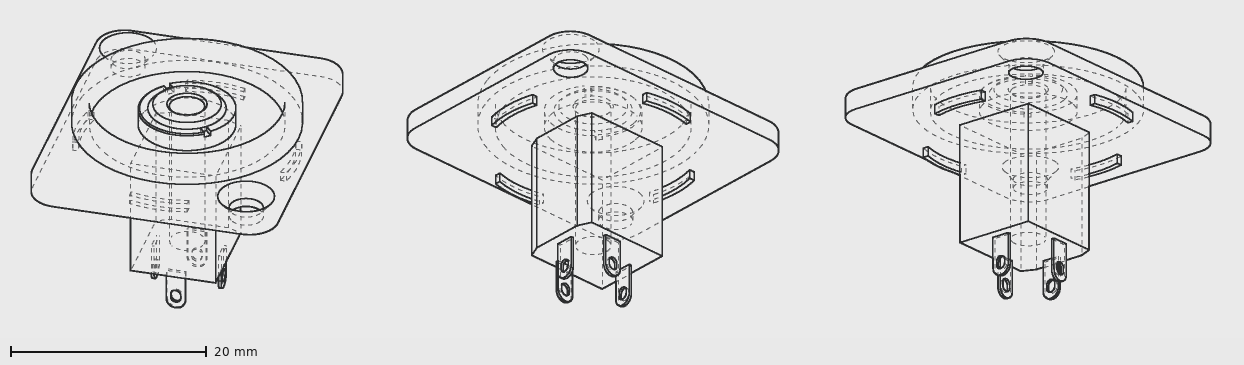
import cadquery as cq

plate_x = 26.0
plate_y = 31.0
plate_top = 2.35
plate_corner_radius = 3.0
edge_round = 0.3

screw_hole_diameter = 3.5
screw_sink_diameter = 5.8
screw_sink_angle = 80.0
screw_x = 9.5
screw_y = 12.0

rim_outer_radius = 11.8
rim_inner_radius = 10.0
rim_top = 5.1
recess_floor = 2.1

tab_outer_radius = 11.7
tab_inner_radius = 11.1
tab_width = 6.1
tab_height = 1.0

nut_diameter = 10.0
nut_top = recess_floor + 1.95
nut_edge_bevel = 0.15
nut_slot_width = 0.7
nut_slot_depth = 0.5
nut_slot_angle = 130.0

sleeve_diameter = 8.0
sleeve_top = nut_top + 0.5
sleeve_bevel = 0.5
bore_diameter = 3.6
bore_bevel = 0.25

body_x = 9.0
body_y = 10.5
body_height = 13.0
body_center_y = -0.23
body_bevel_x = 1.5
body_bevel_y = 0.65
body_floor = 1.0

terminal_width = 2.0
terminal_thickness = 0.3
terminal_length = 4.4
terminal_eye_width = 1.05
terminal_eye_height = 1.4
terminal_eye_above_tip = 1.4
terminal_embed = 0.5
side_terminal_x = 3.55
side_terminal_y = 0.66
end_terminal_offset = 4.05


def cylinder(diameter, bottom, top):
    """Upright cylinder on the socket axis."""
    return cq.Workplane("XY").workplane(offset=bottom).circle(diameter / 2).extrude(top - bottom)


def make_plate():
    """Rounded plate with a rounded top edge and two countersunk holes."""
    plate = cq.Workplane("XY").rect(plate_x, plate_y).extrude(plate_top)
    plate = plate.edges("|Z").fillet(plate_corner_radius)
    plate = plate.faces(">Z").edges().fillet(edge_round)
    return (
        plate.faces(">Z")
        .workplane(origin=(0, 0, plate_top))
        .pushPoints([(-screw_x, screw_y), (screw_x, -screw_y)])
        .cskHole(screw_hole_diameter, screw_sink_diameter, screw_sink_angle)
    )


def make_recess():
    """Material removed between the plate top and the sunken floor."""
    return cylinder(2 * rim_inner_radius, recess_floor, plate_top)


def make_rim():
    """Rim with both top edges rounded."""
    rim = cylinder(2 * rim_outer_radius, plate_top, rim_top)
    rim = rim.cut(cylinder(2 * rim_inner_radius, plate_top, rim_top))
    return rim.faces(">Z").edges().fillet(edge_round)


def make_tabs():
    """Four ring segments with parallel sides, one on each side of the socket axis."""
    ring = cylinder(2 * tab_outer_radius, -tab_height, 0)
    ring = ring.cut(cylinder(2 * tab_inner_radius, -tab_height, 0))
    span = 2 * plate_y
    arms = cq.Workplane("XY").rect(span, tab_width).extrude(-tab_height)
    arms = arms.union(cq.Workplane("XY").rect(tab_width, span).extrude(-tab_height))
    return ring.intersect(arms)


def make_nut():
    """Nut with one half of its top edge bevelled and a slot across the top."""
    plain = cylinder(nut_diameter, recess_floor, nut_top)
    bevelled = plain.faces(">Z").edges().chamfer(nut_edge_bevel)
    half = (
        cq.Workplane("XY")
        .rect(2 * nut_diameter, nut_diameter)
        .extrude(nut_top)
        .translate((0, nut_diameter / 2, 0))
        .rotate((0, 0, 0), (0, 0, 1), nut_slot_angle)
    )
    nut = plain.cut(half).union(bevelled.intersect(half))
    slot = (
        cq.Workplane("XY")
        .workplane(offset=nut_top - nut_slot_depth)
        .rect(2 * nut_diameter, nut_slot_width)
        .extrude(nut_slot_depth)
        .rotate((0, 0, 0), (0, 0, 1), nut_slot_angle)
    )
    return nut.cut(slot)


def make_sleeve():
    """Sleeve standing proud of the nut, bevelled at its top."""
    sleeve = cylinder(sleeve_diameter, 0, sleeve_top)
    return sleeve.faces(">Z").edges().chamfer(sleeve_bevel)


def make_bore():
    """Blind round bore with a bevelled mouth."""
    bore = cylinder(bore_diameter, body_floor - body_height, sleeve_top)
    mouth = (
        cq.Workplane("XY")
        .workplane(offset=sleeve_top - bore_bevel)
        .circle(bore_diameter / 2)
        .workplane(offset=bore_bevel)
        .circle(bore_diameter / 2 + bore_bevel)
        .loft(ruled=True)
    )
    return bore.union(mouth)


def make_body():
    """Rectangular body with its two +Y corners bevelled."""
    half_x = body_x / 2
    front = body_center_y - body_y / 2
    back = body_center_y + body_y / 2
    return (
        cq.Workplane("XY")
        .moveTo(-half_x, front)
        .lineTo(half_x, front)
        .lineTo(half_x, back - body_bevel_y)
        .lineTo(half_x - body_bevel_x, back)
        .lineTo(body_bevel_x - half_x, back)
        .lineTo(-half_x, back - body_bevel_y)
        .close()
        .extrude(-body_height)
    )


def make_terminal():
    """Upright solder tag in the XZ plane with a round tip and an oblong eye."""
    radius = terminal_width / 2
    top = terminal_embed - body_height
    tip = -body_height - terminal_length
    tag = (
        cq.Workplane("XZ")
        .moveTo(-radius, top)
        .lineTo(-radius, tip + radius)
        .threePointArc((0, tip), (radius, tip + radius))
        .lineTo(radius, top)
        .close()
        .extrude(terminal_thickness / 2, both=True)
    )
    eye = (
        cq.Workplane("XZ")
        .center(0, tip + terminal_eye_above_tip)
        .slot2D(terminal_eye_height, terminal_eye_width, 90)
        .extrude(terminal_thickness, both=True)
    )
    return tag.cut(eye)


def make_terminals():
    """Two tags at the Y ends of the body and two turned tags at its X sides."""
    terminals = cq.Workplane("XY")
    for side in (-1, 1):
        end_tag = make_terminal().translate((0, body_center_y + side * end_terminal_offset, 0))
        side_tag = make_terminal().rotate((0, 0, 0), (0, 0, 1), 90)
        side_tag = side_tag.translate((side * side_terminal_x, side_terminal_y, 0))
        terminals = terminals.add(end_tag).add(side_tag)
    return terminals


housing = make_plate().cut(make_recess()).union(make_rim()).union(make_tabs())
jack = make_body().union(make_sleeve()).union(make_nut())
result = housing.union(jack).cut(make_bore())
for terminal in make_terminals().vals():
    result = result.union(cq.Workplane(terminal))